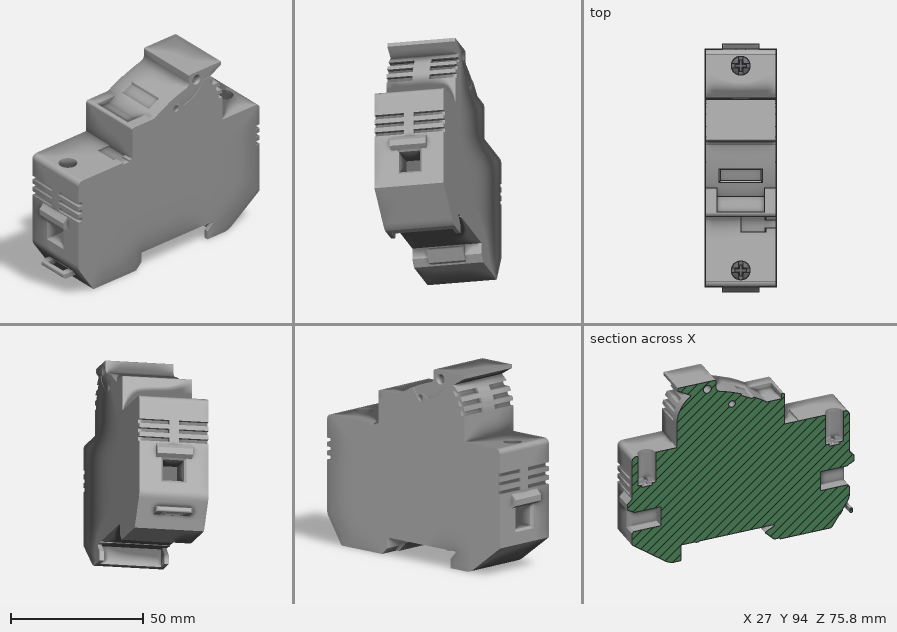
import cadquery as cq
import math

WIDTH = 27.0
LENGTH = 90.0
HEIGHT = 75.8
HALF_WIDTH = WIDTH / 2
HALF_LENGTH = LENGTH / 2

SHOULDER_Z = 50.0
SHOULDER_RADIUS = 2.0
PLATFORM_Z = 63.5
PLATFORM_RADIUS = 0.9
TOWER_FRONT_Y = -18.25
TOWER_BACK_Y = 26.5
FRONT_CHAMFER_TOP_Z = 11.4
FRONT_CHAMFER_FOOT_Y = -37.5
FRONT_CHAMFER_RADIUS = 5.0
BACK_CHAMFER_TOP_Z = 11.6
BACK_CHAMFER_END = (31.4, 1.5)
BACK_FOOT_Y = 28.3

RAIL_Z = 6.85
RAIL_FRONT_Y = -13.8
RAIL_BACK_Y = 21.8
HOOK_TIP_Y = 19.1
HOOK_TIP_Z = 3.6
HOOK_TOP_Z = 6.2
RAIL_FRONT_CHAMFER = 2.6
HOOK_WALL = 1.7
HOOK_GAP_BACK_Y = 24.5
RAIL_PAD_Y = 17.9
RAIL_PAD_LENGTH = 1.6
RAIL_PAD_HEIGHT = 0.3

CROWN_RADIUS = 13.6
CROWN_START_Z = 60.0
LEVER_UNDERSIDE_Z = 71.25
LEVER_BACK_Y = 26.0
LEVER_BACK_Z = 74.4
LEVER_FRONT_Y = 10.2
LEVER_NECK_Z = 72.7
LEVER_NECK_RADIUS = 2.05
LEVER_EDGE_RADIUS = 0.5
SLOPE_TOP = (8.9, 70.6)
SLOPE_FOOT_Y = -7.5
SLOPE_RADIUS = 63.0

LEVER_SETBACK = 0.25
LEVER_SEAT_Y = 17.2
LEVER_SEAT_MIDDLE = (13.7, 66.8)
LEVER_SEAT_END = (7.4, 63.8)
LEVER_TOOTH = (4.6, 65.5)
LEVER_FRONT_CORNER = (2.25, 63.6)
LEVER_END_Y = -0.3

EYELET_Y = 13.8
EYELET_Z = 72.45
EYELET_DIAMETER = 3.2
EYELET_CHAMFER = 0.5
PIVOT_Y = 3.6
PIVOT_Z = 63.7
PIVOT_DIAMETER = 2.6

TONGUE_WIDTH = 18.0
TONGUE_TIP_Y = -10.8
TONGUE_POCKET_FRONT_Y = -16.7
LABEL_WIDTH = 16.4
LABEL_BACK_Y = -0.3
LABEL_FRONT_Y = -5.5
LABEL_DEPTH = 0.7
LABEL_INSET = 0.6

GROOVE_HEIGHT = 1.65
GROOVE_DEPTH = 1.9
GROOVE_PITCH = 3.4
GROOVE_MIDDLE_Z = 36.5
GROOVE_WEB = 3.7
CROWN_GROOVE_WEB = 6.5
CROWN_GROOVE_HEIGHT = 1.95
CROWN_GROOVES = [
    (20.5, 69.0, 1.4),
    (23.0, 65.45, 0.9),
    (24.4, 61.85, 0.6),
]

HOOD_WIDTH = 14.0
HOOD_REACH = 2.0
HOOD_ROOT_TOP_Z = 31.6
HOOD_TOP_Z = 29.6
HOOD_BOTTOM_Z = 27.3
HOOD_ROOT_BOTTOM_Z = 26.1
WINDOW_WIDTH = 8.1
WINDOW_BOTTOM_Z = 17.4
WINDOW_TOP_Z = 25.5
WINDOW_CHAMFER = 0.85
WINDOW_DEPTH = 12.0

SCREW_Y = 38.75
SCREW_HOLE_DIAMETER = 7.1
SCREW_HOLE_DEPTH = 12.0
SCREW_DOME_HEIGHT = 1.2
SCREW_SLOT_WIDTH = 1.7
SCREW_SLOT_DEPTH = 1.0
SCREW_WING_WIDTH = 1.1
SCREW_WING_LENGTH = 4.2
SCREW_SOCKET_RADIUS = 1.5
SCREW_SOCKET_DEPTH = 2.0

KEY_LEFT_X = 0.1
KEY_RIGHT_X = 9.6
KEY_FRONT_Y = -24.2
KEY_NECK_FRONT_Y = -22.75
KEY_NECK_BACK_Y = -19.75
KEY_DEPTH = 0.8
KEY_WALL_SLOPE = 0.5

SLIDER_WIDTH = 14.0
TAB_FRONT_Y = -46.4
TAB_BACK_Y = -38.0
TAB_BOTTOM_Z = 4.8
TAB_TOP_Z = RAIL_Z
TAB_BAR = 1.3
TAB_SLOT_WIDTH = 8.8
TAB_SLOT_BACK_Y = -42.3
TAB_CORNER_CHAMFER = 0.65
TAB_EDGE_RADIUS = 0.7
CATCH_TIP = (-9.9, 4.35)
CATCH_TOP_Z = 6.4
CATCH_FOOT_Z = 0.5
CATCH_BACK_Y = -15.7

OVERCUT = 1.0


def box_between(x_range, y_range, z_range):
    """Box spanning the given ranges."""
    lows, highs = zip(x_range, y_range, z_range)
    sizes = [high - low for low, high in zip(lows, highs)]
    return cq.Workplane("XY").box(*sizes, centered=False).translate(lows)


def side_outline(x=0.0):
    """Empty sketch plane facing +X; its coordinates are (Y, Z)."""
    return cq.Workplane("YZ", origin=(x, 0, 0))


def side_x_ranges(web):
    """X ranges on both sides of a central web, reaching past the housing sides."""
    outer = HALF_WIDTH + OVERCUT
    return [(-outer, -web / 2), (web / 2, outer)]


def slope_centre():
    """Centre of the arc that joins the lever to the platform."""
    top_y, top_z = SLOPE_TOP
    run = SLOPE_FOOT_Y - top_y
    drop = PLATFORM_Z - top_z
    chord = math.hypot(run, drop)
    offset = math.sqrt(SLOPE_RADIUS**2 - (chord / 2) ** 2)
    middle_y = (top_y + SLOPE_FOOT_Y) / 2
    middle_z = (top_z + PLATFORM_Z) / 2
    return middle_y - offset * drop / chord, middle_z + offset * run / chord


def slope_z(y):
    """Height of the lever slope at the given Y."""
    centre_y, centre_z = slope_centre()
    return centre_z + math.sqrt(SLOPE_RADIUS**2 - (y - centre_y) ** 2)


def crown_y(z):
    """Y of the rounded back of the tower at the given height."""
    return TOWER_BACK_Y - CROWN_RADIUS + math.sqrt(CROWN_RADIUS**2 - (z - CROWN_START_Z) ** 2)


def make_lever_clearance():
    """Space in front of the lever, down to the tongue pocket between the two platform shoulders."""
    tongue_z = slope_z(TONGUE_TIP_Y)
    middle_y = (SLOPE_TOP[0] + TONGUE_TIP_Y) / 2
    outline = (
        side_outline()
        .moveTo(TONGUE_POCKET_FRONT_Y, tongue_z)
        .lineTo(TONGUE_TIP_Y, tongue_z)
        .threePointArc((middle_y, slope_z(middle_y)), SLOPE_TOP)
        .radiusArc((LEVER_FRONT_Y, LEVER_NECK_Z), -LEVER_NECK_RADIUS)
        .lineTo(LEVER_FRONT_Y, HEIGHT)
        .lineTo(TONGUE_POCKET_FRONT_Y, HEIGHT)
        .close()
    )
    clearance = outline.extrude(HALF_WIDTH, both=True)
    for x_range in side_x_ranges(TONGUE_WIDTH):
        shoulder = box_between(x_range, (TONGUE_POCKET_FRONT_Y, SLOPE_TOP[0]), (tongue_z, PLATFORM_Z))
        clearance = clearance.cut(shoulder)
    return clearance


def make_housing():
    """Housing and lever in one outline, with rounded edges and the rail recess."""
    crown_middle_z = (CROWN_START_Z + LEVER_UNDERSIDE_Z) / 2
    outline = (
        side_outline()
        .moveTo(FRONT_CHAMFER_FOOT_Y, 0)
        .lineTo(-HALF_LENGTH, FRONT_CHAMFER_TOP_Z)
        .lineTo(-HALF_LENGTH, SHOULDER_Z)
        .lineTo(TOWER_FRONT_Y, SHOULDER_Z)
        .lineTo(TOWER_FRONT_Y, PLATFORM_Z)
        .lineTo(TONGUE_POCKET_FRONT_Y, PLATFORM_Z)
        .lineTo(TONGUE_POCKET_FRONT_Y, HEIGHT)
        .lineTo(LEVER_BACK_Y, HEIGHT)
        .lineTo(LEVER_BACK_Y, LEVER_BACK_Z)
        .lineTo(crown_y(LEVER_UNDERSIDE_Z), LEVER_UNDERSIDE_Z)
        .threePointArc((crown_y(crown_middle_z), crown_middle_z), (TOWER_BACK_Y, CROWN_START_Z))
        .lineTo(TOWER_BACK_Y, SHOULDER_Z)
        .lineTo(HALF_LENGTH, SHOULDER_Z)
        .lineTo(HALF_LENGTH, BACK_CHAMFER_TOP_Z)
        .lineTo(*BACK_CHAMFER_END)
        .tangentArcPoint((BACK_FOOT_Y, 0), relative=False)
        .lineTo(HOOK_TIP_Y, 0)
        .lineTo(HOOK_TIP_Y, HOOK_TIP_Z)
        .lineTo(RAIL_BACK_Y, HOOK_TOP_Z)
        .lineTo(RAIL_BACK_Y, RAIL_Z)
        .lineTo(RAIL_FRONT_Y, RAIL_Z)
        .lineTo(RAIL_FRONT_Y, RAIL_FRONT_CHAMFER)
        .lineTo(RAIL_FRONT_Y - RAIL_FRONT_CHAMFER, 0)
        .close()
    )
    housing = outline.extrude(HALF_WIDTH, both=True).cut(make_lever_clearance())

    rounded_edges = [
        (-HALF_LENGTH, SHOULDER_Z, SHOULDER_RADIUS),
        (HALF_LENGTH, SHOULDER_Z, SHOULDER_RADIUS),
        (TOWER_FRONT_Y, PLATFORM_Z, PLATFORM_RADIUS),
        (LEVER_FRONT_Y, HEIGHT, LEVER_EDGE_RADIUS),
        (-HALF_LENGTH, FRONT_CHAMFER_TOP_Z, FRONT_CHAMFER_RADIUS),
    ]
    for y, z, radius in rounded_edges:
        housing = housing.edges(cq.NearestToPointSelector((0, y, z))).fillet(radius)

    rail_pad = box_between(
        (-HALF_WIDTH, HALF_WIDTH),
        (RAIL_PAD_Y - RAIL_PAD_LENGTH / 2, RAIL_PAD_Y + RAIL_PAD_LENGTH / 2),
        (RAIL_Z - RAIL_PAD_HEIGHT, RAIL_Z),
    )
    hook_gap = box_between(
        (HOOK_WALL - HALF_WIDTH, HALF_WIDTH - HOOK_WALL),
        (HOOK_TIP_Y, HOOK_GAP_BACK_Y),
        (0, RAIL_Z),
    )
    return housing.union(rail_pad).cut(hook_gap)


def make_lever_setback():
    """Thin slices that narrow the lever on both sides."""
    clear_y = LEVER_BACK_Y + OVERCUT
    clear_z = HEIGHT + OVERCUT
    outline = (
        side_outline(HALF_WIDTH - LEVER_SETBACK)
        .moveTo(LEVER_SEAT_Y, LEVER_UNDERSIDE_Z)
        .threePointArc(LEVER_SEAT_MIDDLE, LEVER_SEAT_END)
        .lineTo(*LEVER_TOOTH)
        .lineTo(*LEVER_FRONT_CORNER)
        .lineTo(LEVER_END_Y, slope_z(LEVER_END_Y))
        .lineTo(LEVER_END_Y, clear_z)
        .lineTo(clear_y, clear_z)
        .lineTo(clear_y, LEVER_UNDERSIDE_Z)
        .close()
    )
    right_slice = outline.extrude(LEVER_SETBACK + OVERCUT)
    return right_slice.union(right_slice.mirror("YZ"))


def make_cross_hole(y, z, diameter):
    """Round hole across the whole width."""
    return side_outline().center(y, z).circle(diameter / 2).extrude(WIDTH, both=True)


def make_eyelet_chamfers():
    """Cones that chamfer both mouths of the eyelet."""
    lever_side_x = HALF_WIDTH - LEVER_SETBACK
    right_cone = (
        side_outline(lever_side_x - EYELET_CHAMFER)
        .center(EYELET_Y, EYELET_Z)
        .circle(EYELET_DIAMETER / 2)
        .workplane(offset=EYELET_CHAMFER)
        .circle(EYELET_DIAMETER / 2 + EYELET_CHAMFER)
        .loft(ruled=True)
    )
    return right_cone.union(right_cone.mirror("YZ"))


def make_label_recess():
    """Shallow recess with sloping walls in the lever tongue."""
    back_z = slope_z(LABEL_BACK_Y)
    front_z = slope_z(LABEL_FRONT_Y)
    run = LABEL_BACK_Y - LABEL_FRONT_Y
    rise = back_z - front_z
    plane = cq.Plane(
        origin=(0, (LABEL_BACK_Y + LABEL_FRONT_Y) / 2, (back_z + front_z) / 2),
        xDir=(1, 0, 0),
        normal=(0, -rise, run),
    )
    length = math.hypot(run, rise)
    taper = math.degrees(math.atan(LABEL_INSET / LABEL_DEPTH))
    recess = cq.Workplane(plane).rect(LABEL_WIDTH, length).extrude(-LABEL_DEPTH, taper=taper)
    clearance = cq.Workplane(plane).rect(LABEL_WIDTH, length).extrude(OVERCUT)
    return recess.union(clearance)


def make_end_grooves():
    """Three horizontal grip grooves on each side of both ends."""
    grooves = cq.Workplane("XY")
    y_ranges = [
        (-HALF_LENGTH - OVERCUT, -HALF_LENGTH + GROOVE_DEPTH),
        (HALF_LENGTH - GROOVE_DEPTH, HALF_LENGTH + OVERCUT),
    ]
    for row in (-1, 0, 1):
        middle_z = GROOVE_MIDDLE_Z + row * GROOVE_PITCH
        z_range = (middle_z - GROOVE_HEIGHT / 2, middle_z + GROOVE_HEIGHT / 2)
        for y_range in y_ranges:
            for x_range in side_x_ranges(GROOVE_WEB):
                grooves = grooves.add(box_between(x_range, y_range, z_range))
    return grooves.combine()


def make_crown_grooves():
    """Three slanted grip grooves on each side of the rounded back."""
    clear_y = TOWER_BACK_Y + OVERCUT
    grooves = cq.Workplane("XY")
    for inner_y, top_z, lean in CROWN_GROOVES:
        bottom_z = top_z - CROWN_GROOVE_HEIGHT
        corners = [
            (inner_y, top_z),
            (clear_y, top_z),
            (clear_y, bottom_z),
            (inner_y + lean, bottom_z),
        ]
        for left_x, right_x in side_x_ranges(CROWN_GROOVE_WEB):
            groove = side_outline(left_x).polyline(corners).close().extrude(right_x - left_x)
            grooves = grooves.add(groove)
    return grooves.combine()


def make_front_hood():
    """Lug over the front terminal window."""
    corners = [
        (-HALF_LENGTH + OVERCUT, HOOD_ROOT_TOP_Z),
        (-HALF_LENGTH, HOOD_ROOT_TOP_Z),
        (-HALF_LENGTH - HOOD_REACH, HOOD_TOP_Z),
        (-HALF_LENGTH - HOOD_REACH, HOOD_BOTTOM_Z),
        (-HALF_LENGTH, HOOD_ROOT_BOTTOM_Z),
        (-HALF_LENGTH + OVERCUT, HOOD_ROOT_BOTTOM_Z),
    ]
    return side_outline().polyline(corners).close().extrude(HOOD_WIDTH / 2, both=True)


def make_front_window():
    """Terminal window with a chamfered mouth."""
    height = WINDOW_TOP_Z - WINDOW_BOTTOM_Z
    mouth = cq.Workplane("XZ", origin=(0, -HALF_LENGTH, (WINDOW_TOP_Z + WINDOW_BOTTOM_Z) / 2))
    shaft = mouth.rect(WINDOW_WIDTH, height).extrude(-WINDOW_DEPTH)
    flare = (
        mouth.rect(WINDOW_WIDTH + 2 * WINDOW_CHAMFER, height + 2 * WINDOW_CHAMFER)
        .workplane(offset=-WINDOW_CHAMFER)
        .rect(WINDOW_WIDTH, height)
        .loft(ruled=True)
    )
    return shaft.union(flare)


def make_cross(length, width, bottom_z, top_z):
    """Upright cross on the Z axis."""
    centre_z = (bottom_z + top_z) / 2
    arm = cq.Workplane("XY", origin=(0, 0, centre_z)).box(length, width, top_z - bottom_z)
    return arm.union(arm.rotate((0, 0, 0), (0, 0, 1), 90))


def make_screw_hole():
    """Screw hole on the Z axis, with a domed cross-slot head at its bottom."""
    radius = SCREW_HOLE_DIAMETER / 2
    seat_z = SHOULDER_Z - SCREW_HOLE_DEPTH
    crest_z = seat_z + SCREW_DOME_HEIGHT
    hole = cq.Workplane("XY", origin=(0, 0, seat_z)).circle(radius).extrude(SCREW_HOLE_DEPTH)
    sphere_radius = (radius**2 + SCREW_DOME_HEIGHT**2) / (2 * SCREW_DOME_HEIGHT)
    dome = cq.Workplane("XY").sphere(sphere_radius).translate((0, 0, crest_z - sphere_radius))

    slots = make_cross(SCREW_HOLE_DIAMETER, SCREW_SLOT_WIDTH, seat_z - SCREW_SLOT_DEPTH, crest_z)
    slots = slots.intersect(cq.Workplane("XY").circle(radius).extrude(SHOULDER_Z))
    wings = make_cross(SCREW_WING_LENGTH, SCREW_WING_WIDTH, seat_z - SCREW_SOCKET_DEPTH, crest_z)
    socket = (
        cq.Workplane("XY", origin=(0, 0, seat_z - SCREW_SOCKET_DEPTH))
        .circle(SCREW_SLOT_WIDTH / 2)
        .workplane(offset=SCREW_SOCKET_DEPTH + SCREW_DOME_HEIGHT)
        .circle(SCREW_SOCKET_RADIUS)
        .loft(ruled=True)
    )
    return hole.cut(dome).union(slots).union(wings).union(socket)


def make_key_pocket():
    """Pocket beside the tower with a neck out through the +X side."""
    floor_z = SHOULDER_Z - KEY_DEPTH
    corners = [
        (KEY_LEFT_X, floor_z),
        (KEY_RIGHT_X - KEY_WALL_SLOPE, floor_z),
        (KEY_RIGHT_X, SHOULDER_Z),
        (KEY_LEFT_X, SHOULDER_Z),
    ]
    pocket = (
        cq.Workplane("XZ", origin=(0, TOWER_FRONT_Y, 0))
        .polyline(corners)
        .close()
        .extrude(TOWER_FRONT_Y - KEY_FRONT_Y)
    )
    neck = box_between(
        (KEY_LEFT_X, HALF_WIDTH + OVERCUT),
        (KEY_NECK_FRONT_Y, KEY_NECK_BACK_Y),
        (floor_z, SHOULDER_Z),
    )
    return pocket.union(neck)


def make_slider():
    """Pull tab with a slot, and the catch that grips the rail."""
    half = SLIDER_WIDTH / 2
    tab = (
        box_between((-half, half), (TAB_FRONT_Y, TAB_BACK_Y), (TAB_BOTTOM_Z, TAB_TOP_Z))
        .edges("|Z and <Y")
        .chamfer(TAB_CORNER_CHAMFER)
        .faces("<Y")
        .edges("|X")
        .fillet(TAB_EDGE_RADIUS)
    )
    chamfer_run = FRONT_CHAMFER_FOOT_Y + HALF_LENGTH
    slot_lean = (TAB_TOP_Z - TAB_BOTTOM_Z) * chamfer_run / FRONT_CHAMFER_TOP_Z
    slot_outline = [
        (TAB_FRONT_Y + TAB_BAR, TAB_TOP_Z),
        (TAB_SLOT_BACK_Y, TAB_TOP_Z),
        (TAB_SLOT_BACK_Y + slot_lean, TAB_BOTTOM_Z),
        (TAB_FRONT_Y + TAB_BAR, TAB_BOTTOM_Z),
    ]
    slot = side_outline().polyline(slot_outline).close().extrude(TAB_SLOT_WIDTH / 2, both=True)
    catch_outline = [
        (CATCH_BACK_Y, CATCH_TOP_Z),
        (RAIL_FRONT_Y, CATCH_TOP_Z),
        CATCH_TIP,
        (RAIL_FRONT_Y, CATCH_FOOT_Z),
        (CATCH_BACK_Y, CATCH_FOOT_Z),
    ]
    catch = side_outline().polyline(catch_outline).close().extrude(half, both=True)
    return tab.cut(slot).union(catch)


part = make_housing().cut(make_key_pocket())

part = part.cut(make_lever_setback())
part = part.cut(make_cross_hole(EYELET_Y, EYELET_Z, EYELET_DIAMETER))
part = part.cut(make_eyelet_chamfers())
part = part.cut(make_cross_hole(PIVOT_Y, PIVOT_Z, PIVOT_DIAMETER))
part = part.cut(make_label_recess())

part = part.cut(make_end_grooves())
part = part.cut(make_crown_grooves())

front_hood = make_front_hood()
front_window = make_front_window()
part = part.union(front_hood).union(front_hood.mirror("XZ"))
part = part.cut(front_window).cut(front_window.mirror("XZ"))
screw_hole = make_screw_hole()
for screw_y in (-SCREW_Y, SCREW_Y):
    part = part.cut(screw_hole.translate((0, screw_y, 0)))

result = part.union(make_slider())